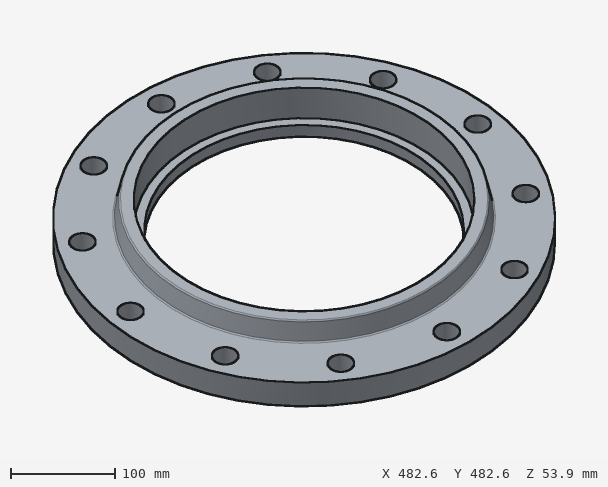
import cadquery as cq
import math

flange_diameter = 482.6
flange_thickness = 30.5
overall_height = 53.85

hub_base_diameter = 365.1
hub_top_diameter = 355.6
hub_edge_radius = 1.6

bore_diameter = 307.0
socket_diameter = 327.2
socket_floor_height = 15.0

bolt_circle_diameter = 431.8
bolt_hole_diameter = 25.4
bolt_count = 12


def flange_plate():
    return cq.Workplane("XY").circle(flange_diameter / 2).extrude(flange_thickness)


def tapered_hub():
    """Hub cone that stands on the plate."""
    hub_height = overall_height - flange_thickness
    radius_change = (hub_base_diameter - hub_top_diameter) / 2
    taper_angle = math.degrees(math.atan2(radius_change, hub_height))
    return (
        cq.Workplane("XY", origin=(0, 0, flange_thickness))
        .circle(hub_base_diameter / 2)
        .extrude(hub_height, taper=taper_angle)
    )


def round_hub_edges(body):
    """Round the hub's top rim and the corner where it meets the plate."""
    rim = body.faces(">Z").edges()
    root = body.edges(cq.selectors.RadiusNthSelector(-2))
    return body.newObject(rim.vals() + root.vals()).fillet(hub_edge_radius)


def stepped_bore():
    """Through bore with a wider pipe socket above its shoulder."""
    bore = cq.Workplane("XY").circle(bore_diameter / 2).extrude(overall_height)
    socket = (
        cq.Workplane("XY", origin=(0, 0, socket_floor_height))
        .circle(socket_diameter / 2)
        .extrude(overall_height - socket_floor_height)
    )
    return bore.union(socket)


def bolt_holes():
    return (
        cq.Workplane("XY")
        .polarArray(bolt_circle_diameter / 2, 0, 360, bolt_count)
        .circle(bolt_hole_diameter / 2)
        .extrude(flange_thickness)
    )


body = round_hub_edges(flange_plate().union(tapered_hub()))
result = body.cut(stepped_bore()).cut(bolt_holes())